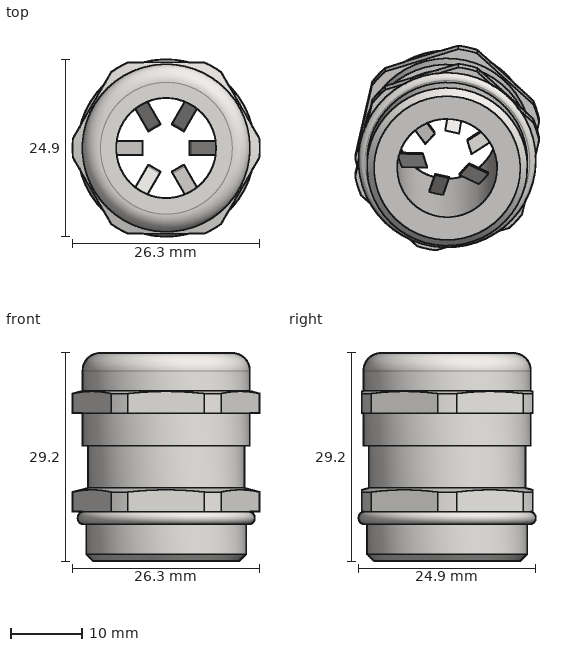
import cadquery as cq
import math

total_height = 29.2
seal_bottom = 5.15
body_hex_bottom = 6.95
cap_bottom = 16.15
cap_hex_bottom = 20.75
hex_height = 3.05

thread_radius = 11.25
thread_chamfer = 1.0
neck_radius = 11.0
cap_radius = 11.75
cap_fillet = 2.5
bore_radius = 7.0
seal_outer_radius = 12.45

hex_sides = 6
across_flats = 24.0
corner_radius = 13.15
cone_angle = math.radians(15)

finger_count = 6
finger_width = 2.0
finger_bend_radius = 3.5
finger_tip_radius = 3.25
finger_slope = math.radians(60)
finger_tip_slope = math.radians(65)
finger_tip_height = 1.0
finger_top = 18.0
wall_overlap = 0.5


def cylinder(radius, bottom, top):
    return cq.Workplane("XY").workplane(offset=bottom).circle(radius).extrude(top - bottom)


def hexagon(bottom):
    """Hexagon whose top falls away from the middle of each flat to the turned corners."""
    flat_radius = across_flats / 2
    prism = (
        cq.Workplane("XY")
        .workplane(offset=bottom)
        .polygon(hex_sides, across_flats / math.cos(math.pi / hex_sides))
        .extrude(2 * hex_height)
    )
    top = bottom + hex_height
    rim_top = top - (corner_radius - flat_radius) * math.tan(cone_angle)
    apex_top = top + (flat_radius - bore_radius) * math.tan(cone_angle)
    turned_blank = (
        cq.Workplane("XZ")
        .polyline([(0, bottom), (corner_radius, bottom), (corner_radius, rim_top),
                   (bore_radius, apex_top), (0, apex_top)])
        .close()
        .revolve(360, (0, 0, 0), (0, 1, 0))
    )
    return prism.intersect(turned_blank)


def seal_ring():
    """Sealing ring with a round outer edge, seated under the body hexagon."""
    section_radius = (body_hex_bottom - seal_bottom) / 2
    section_center = seal_outer_radius - section_radius
    return (
        cq.Workplane("XZ")
        .moveTo(neck_radius, seal_bottom)
        .lineTo(section_center, seal_bottom)
        .threePointArc((seal_outer_radius, seal_bottom + section_radius), (section_center, body_hex_bottom))
        .lineTo(neck_radius, body_hex_bottom)
        .close()
        .revolve(360, (0, 0, 0), (0, 1, 0))
    )


def finger():
    """Finger on the +X side, sloping down from the bore wall and steeper at its tip."""
    root_radius = bore_radius + wall_overlap
    root_z = finger_top + wall_overlap * math.tan(finger_slope)
    bend_z = finger_top - (bore_radius - finger_bend_radius) * math.tan(finger_slope)
    tip_z = bend_z - (finger_bend_radius - finger_tip_radius) * math.tan(finger_tip_slope)
    underside_z = tip_z - finger_tip_height
    root_bottom_z = underside_z + (root_radius - finger_tip_radius) * math.tan(finger_slope)
    return (
        cq.Workplane("XZ")
        .polyline([(root_radius, root_z), (finger_bend_radius, bend_z),
                   (finger_tip_radius, tip_z), (finger_tip_radius, underside_z),
                   (root_radius, root_bottom_z)])
        .close()
        .extrude(finger_width / 2, both=True)
    )


thread = cylinder(thread_radius, 0, body_hex_bottom).faces("<Z").chamfer(thread_chamfer)
neck = cylinder(neck_radius, body_hex_bottom, cap_bottom)
cap = cylinder(cap_radius, cap_bottom, total_height).faces(">Z").edges().fillet(cap_fillet)

result = thread.union(neck).union(cap).union(seal_ring())
result = result.union(hexagon(body_hex_bottom))
result = result.union(hexagon(cap_hex_bottom))
result = result.cut(cylinder(bore_radius, 0, total_height))
for i in range(finger_count):
    result = result.union(finger().rotate((0, 0, 0), (0, 0, 1), i * 360 / finger_count))